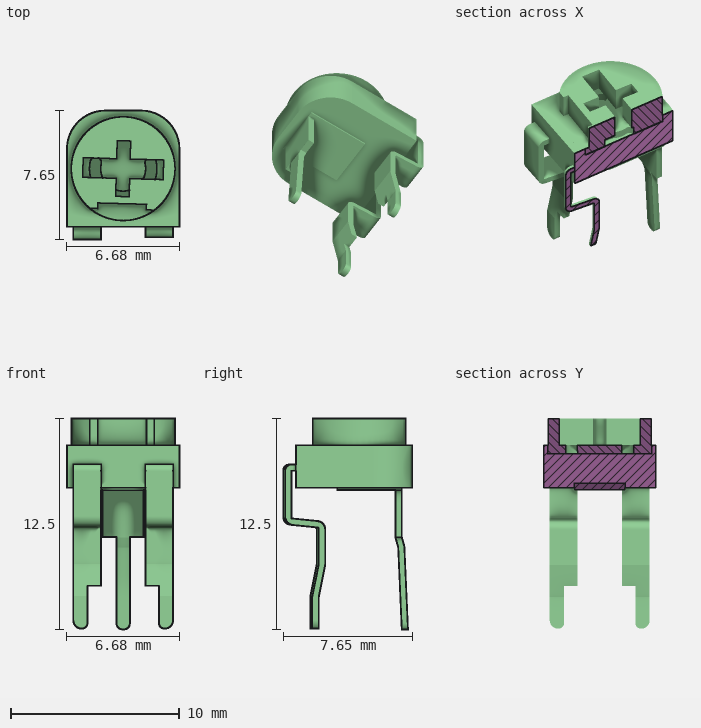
import cadquery as cq
import math


overall_height = 12.5

housing_width = 6.68
housing_depth = 6.90
housing_height = 2.54
housing_corner_radius = 2.29
front_face = -housing_depth / 2

rotor_radius = 6.15 / 2
rotor_rise = 1.575
rotor_seat = 0.5
rotor_turn = -1.6
slot_length = 4.77
slot_width = 1.16
cross_slot_length = 3.30
cross_slot_width = 0.80
lip_distance = 2.40
notch_distance = 2.07
notch_width = 2.88
groove_inner_radius = 1.33
groove_outer_radius = 2.00
groove_end_angle = 12.5

strip_thickness = 0.38
half_strip = strip_thickness / 2

side_offset = 2.135
side_width = 1.65
side_leg_width = 0.85
side_reach = 0.75
right_setback = 0.13
flange_top = 1.395
step_outer_level = -1.97
step_inner_level = -2.17
step_length = 1.99
leg_bend_top = -4.53
leg_bend_bottom = -6.43
leg_bend_offset = 0.38
side_shoulder = -5.80
side_tip = -8.335
flange_bend_radius = 0.38
step_bend_radius = 0.50
step_inner_bend_radius = 0.10
side_tip_outer_radius = 0.50
side_tip_inner_radius = 0.34

plate_width = 3.0
plate_front = -1.0
plate_drop = 0.127
tab_width = 2.43
tab_back = 2.83
tab_bottom = -2.91
pin_width = 0.81
pin_bend_bottom = -3.49
pin_bend_offset = 0.16
pin_tip_offset = 0.38
pin_tip = housing_height + rotor_rise - overall_height
pin_tip_radius = 0.38


def rounded_outline(plane, corners):
    """Closed outline through (u, v, radius) corners; radius 0 leaves a corner sharp."""
    count = len(corners)
    outline = cq.Workplane(plane)
    for i, (u, v, radius) in enumerate(corners):
        corner = cq.Vector(u, v)
        to_previous = (cq.Vector(*corners[i - 1][:2]) - corner).normalized()
        to_next = (cq.Vector(*corners[(i + 1) % count][:2]) - corner).normalized()
        half_angle = to_previous.getAngle(to_next) / 2
        setback = radius / math.tan(half_angle)
        arc_start = (corner + to_previous * setback).toTuple()[:2]
        outline = outline.moveTo(*arc_start) if i == 0 else outline.lineTo(*arc_start)
        if radius > 0:
            bisector = (to_previous + to_next).normalized()
            arc_middle = corner + bisector * (radius / math.sin(half_angle) - radius)
            arc_end = corner + to_next * setback
            outline = outline.threePointArc(arc_middle.toTuple()[:2], arc_end.toTuple()[:2])
    return outline.close()


def strip_side(path, side):
    """One face of a bent strip: the mitred offset of its center path.

    The path lists (y, z, left radius, right radius): the corner radii of the faces on the
    left and the right of the direction of travel. Side is 1 for left and -1 for right.
    """
    points = [cq.Vector(y, z) for y, z, _, _ in path]
    directions = [(b - a).normalized() for a, b in zip(points, points[1:])]
    normals = [cq.Vector(-d.y, d.x) * side for d in directions]
    face = []
    for i, point in enumerate(points):
        before = normals[max(i - 1, 0)]
        after = normals[min(i, len(normals) - 1)]
        miter = (before + after) * (half_strip / (1 + before.dot(after)))
        radius = path[i][2] if side > 0 else path[i][3]
        face.append((point.x + miter.x, point.y + miter.y, radius))
    return face


def bent_strip(path, front_corners):
    """Strip bent along a Y-Z path and trimmed to an X-Z front outline."""
    profile = strip_side(path, 1) + strip_side(path, -1)[::-1]
    bent = rounded_outline("YZ", profile).extrude(housing_width, both=True)
    front = rounded_outline("XZ", front_corners).extrude(housing_depth, both=True)
    return bent.intersect(front)


def box(width, y_min, y_max, z_min, z_max):
    """Box centered on X = 0."""
    return cq.Workplane("XY").box(
        width, y_max - y_min, z_max - z_min, centered=(True, False, False)
    ).translate((0, y_min, z_min))


def make_plate():
    """Flat head of the center terminal, set into the underside of the housing."""
    return box(plate_width, plate_front, tab_back, -plate_drop, strip_thickness - plate_drop)


def make_housing():
    body = box(housing_width, front_face, -front_face, 0, housing_height)
    body = body.edges("|Z and >Y").fillet(housing_corner_radius)
    rotor_recess = (
        cq.Workplane("XY", origin=(0, 0, housing_height)).circle(rotor_radius).extrude(-rotor_seat)
    )
    return body.cut(rotor_recess).cut(make_plate())


def polar(radius, degrees):
    """Point at a radius and an angle from +X."""
    angle = math.radians(degrees)
    return (radius * math.cos(angle), radius * math.sin(angle))


def make_groove():
    """C-shaped groove through the rotor base, open towards +Y, with round ends."""
    right_end = groove_end_angle
    left_end = 180 - groove_end_angle
    middle_radius = (groove_inner_radius + groove_outer_radius) / 2
    end_radius = (groove_outer_radius - groove_inner_radius) / 2
    end_x, end_y = polar(middle_radius, right_end)
    crown_x, crown_y = polar(end_radius, right_end + 90)
    return (
        cq.Workplane("XY", origin=(0, 0, housing_height - rotor_seat))
        .moveTo(*polar(groove_outer_radius, right_end))
        .threePointArc((0, -groove_outer_radius), polar(groove_outer_radius, left_end))
        .threePointArc((-end_x - crown_x, end_y + crown_y), polar(groove_inner_radius, left_end))
        .threePointArc((0, -groove_inner_radius), polar(groove_inner_radius, right_end))
        .threePointArc((end_x + crown_x, end_y + crown_y), polar(groove_outer_radius, right_end))
        .close()
        .extrude(rotor_seat)
    )


def make_rotor():
    bottom = housing_height - rotor_seat
    top = housing_height + rotor_rise
    body = cq.Workplane("XY", origin=(0, 0, bottom)).circle(rotor_radius).extrude(top - bottom)
    cuts = [
        box(slot_length, -slot_width / 2, slot_width / 2, housing_height, top),
        box(cross_slot_width, -cross_slot_length / 2, cross_slot_length / 2, housing_height, top),
        box(2 * rotor_radius, -rotor_radius, -lip_distance, housing_height, top),
        box(notch_width, -rotor_radius, -notch_distance, housing_height, top),
    ]
    for cut in cuts:
        body = body.cut(cut.rotate((0, 0, 0), (0, 0, 1), rotor_turn))
    return body.cut(make_groove())


def make_side_terminal(side, setback):
    """Side terminal on the left (side = -1) or right (side = 1) of the housing."""
    upright = front_face - side_reach + half_strip + setback
    leg_top = upright + step_length
    leg_bottom = leg_top - leg_bend_offset
    path = [
        (front_face, flange_top - half_strip, 0, 0),
        (upright, flange_top - half_strip, 0, flange_bend_radius),
        (upright, step_outer_level, 0, step_bend_radius),
        (leg_top, step_inner_level, step_bend_radius, step_inner_bend_radius),
        (leg_top, leg_bend_top, 0, 0),
        (leg_bottom, leg_bend_bottom, 0, 0),
        (leg_bottom, side_tip, 0, 0),
    ]
    outer = side * (side_offset + side_width / 2)
    inner = side * (side_offset - side_width / 2)
    leg_inner = outer - side * side_leg_width
    front_corners = [
        (outer, flange_top, 0),
        (outer, side_tip, side_tip_outer_radius),
        (leg_inner, side_tip, side_tip_inner_radius),
        (leg_inner, side_shoulder, 0),
        (inner, side_shoulder, 0),
        (inner, flange_top, 0),
    ]
    return bent_strip(path, front_corners)


def make_center_terminal():
    tab_center = tab_back - half_strip
    path = [
        (tab_center, 0, 0, 0),
        (tab_center, tab_bottom, 0, 0),
        (tab_center + pin_bend_offset, pin_bend_bottom, 0, 0),
        (tab_center + pin_tip_offset, pin_tip - half_strip, 0, 0),
    ]
    half_tab = tab_width / 2
    half_pin = pin_width / 2
    front_corners = [
        (-half_tab, 0, 0),
        (-half_tab, tab_bottom, 0),
        (-half_pin, tab_bottom, 0),
        (-half_pin, pin_tip, pin_tip_radius),
        (half_pin, pin_tip, pin_tip_radius),
        (half_pin, tab_bottom, 0),
        (half_tab, tab_bottom, 0),
        (half_tab, 0, 0),
    ]
    return bent_strip(path, front_corners).union(make_plate())


housing = make_housing()
rotor = make_rotor()
center_terminal = make_center_terminal()
side_terminals = [
    make_side_terminal(side, setback) for side, setback in ((-1, 0), (1, right_setback))
]

result = cq.Compound.makeCompound(
    [housing.val(), rotor.val(), center_terminal.val(), *[t.val() for t in side_terminals]]
)